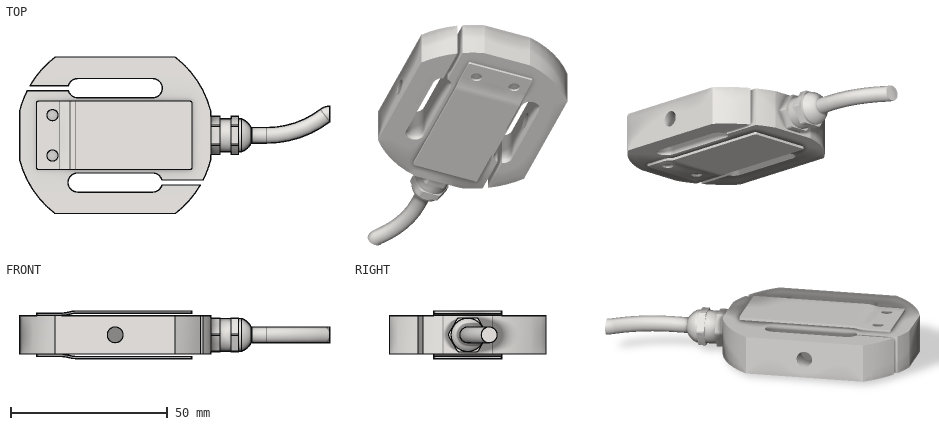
import cadquery as cq
import math

ring_length = 61.0
ring_width = 50.0
ring_height = 12.3
ring_radius = 31.5

slot_length = 30.0
slot_width = 6.0
slot_offset = 15.05
slit_width = 1.5
cross_hole_diameter = 5.05

sheet_length = 49.5
sheet_width = 21.8
sheet_thickness = 0.8
sheet_start_x = -25.05
sheet_step = 0.7
sheet_corner_radius = 0.5
bend_start_x = -17.8
bend_angle = math.radians(14.5)
lower_bend_radius = 13.1
upper_bend_radius = 6.3
sheet_hole_diameter = 3.6
sheet_hole_x = -20.0
sheet_hole_spacing = 12.9

hex_across_flats = 10.9
hex_corner_diameter = 12.3
base_hex_length = 3.0
gland_diameter = 10.6
gland_neck_length = 3.6
cap_hex_length = 2.4
cap_rim_length = 0.9
dome_radius = 5.6
lip_length = 0.3

cable_diameter = 5.05
cable_end_x = 68.5
cable_bend_start_x = 48.3
cable_bend_radius = 30.7
cable_tip_radius = 2.6

ring_top = ring_height / 2
base_start_x = ring_length / 2
neck_start_x = base_start_x + base_hex_length
cap_start_x = neck_start_x + gland_neck_length
cap_rim_x = cap_start_x + cap_hex_length
dome_start_x = cap_rim_x + cap_rim_length
gland_radius = gland_diameter / 2
cable_radius = cable_diameter / 2
dome_center_x = dome_start_x - math.sqrt(dome_radius**2 - gland_radius**2)
dome_end_x = dome_center_x + math.sqrt(dome_radius**2 - cable_radius**2)
cable_start_x = dome_end_x + lip_length


def make_ring():
    """Flat-sided disc with two long slots, each opened to the outside by a slit."""
    ring = cq.Workplane("XY").circle(ring_radius).extrude(ring_top, both=True)
    ring = ring.intersect(cq.Workplane("XY").box(ring_length, ring_width, ring_height))

    for side in (1, -1):
        slot_y = side * slot_offset
        slot = (
            cq.Workplane("XY")
            .center(0, slot_y)
            .slot2D(slot_length, slot_width)
            .extrude(ring_top, both=True)
        )
        slit_length = ring_radius - slot_length / 2 + slot_width / 2
        slit_x = -side * (ring_radius - slit_length / 2)
        slit = (
            cq.Workplane("XY")
            .center(slit_x, slot_y)
            .rect(slit_length, slit_width)
            .extrude(ring_top, both=True)
        )
        cross_hole = (
            cq.Workplane("XZ", origin=(0, slot_y, 0))
            .circle(cross_hole_diameter / 2)
            .extrude(-side * (ring_width / 2 - slot_offset))
        )
        ring = ring.cut(slot).cut(slit).cut(cross_hole)
    return ring


def bend_point(center, radius, angle):
    """Point on a bend in its own plane, at an angle measured from straight below the centre."""
    return (center[0] + radius * math.sin(angle), center[1] - radius * math.cos(angle))


def make_cover_sheet(side):
    """Sheet lying on the ring at its -X end and stepping clear of the rest; side is 1 above, -1 below."""
    end_x = sheet_start_x + sheet_length
    low_bottom = ring_top
    low_top = low_bottom + sheet_thickness
    high_bottom = low_bottom + sheet_step
    high_top = high_bottom + sheet_thickness

    radius_sum = lower_bend_radius + upper_bend_radius
    slope_rise = sheet_step - radius_sum * (1 - math.cos(bend_angle))
    slope_run = slope_rise / math.tan(bend_angle)
    bend_end_x = bend_start_x + radius_sum * math.sin(bend_angle) + slope_run
    lower_center = (bend_start_x, low_top + lower_bend_radius)
    upper_center = (bend_end_x, high_top - upper_bend_radius)
    lower_outer_radius = lower_bend_radius + sheet_thickness
    upper_inner_radius = upper_bend_radius - sheet_thickness
    half_bend = bend_angle / 2
    upper_bend = math.pi + bend_angle
    upper_half_bend = math.pi + half_bend

    sheet = (
        cq.Workplane("XZ")
        .moveTo(sheet_start_x, low_bottom)
        .lineTo(bend_start_x, low_bottom)
        .threePointArc(
            bend_point(lower_center, lower_outer_radius, half_bend),
            bend_point(lower_center, lower_outer_radius, bend_angle),
        )
        .lineTo(*bend_point(upper_center, upper_inner_radius, upper_bend))
        .threePointArc(
            bend_point(upper_center, upper_inner_radius, upper_half_bend),
            (bend_end_x, high_bottom),
        )
        .lineTo(end_x, high_bottom)
        .lineTo(end_x, high_top)
        .lineTo(bend_end_x, high_top)
        .threePointArc(
            bend_point(upper_center, upper_bend_radius, upper_half_bend),
            bend_point(upper_center, upper_bend_radius, upper_bend),
        )
        .lineTo(*bend_point(lower_center, lower_bend_radius, bend_angle))
        .threePointArc(
            bend_point(lower_center, lower_bend_radius, half_bend),
            (bend_start_x, low_top),
        )
        .lineTo(sheet_start_x, low_top)
        .close()
        .extrude(sheet_width / 2, both=True)
    )
    sheet = sheet.edges("|Z").fillet(sheet_corner_radius)

    holes = (
        cq.Workplane("XY", origin=(sheet_hole_x, 0, low_bottom))
        .rarray(1, sheet_hole_spacing, 1, 2)
        .circle(sheet_hole_diameter / 2)
        .extrude(sheet_thickness)
    )
    sheet = sheet.cut(holes)
    return sheet if side > 0 else sheet.mirror("XY")


def make_hex(start_x, length):
    """Hexagon along X with flats facing up and down and rounded-off corners."""
    plane = cq.Workplane("YZ", origin=(start_x, 0, 0))
    prism = plane.polygon(6, hex_across_flats, circumscribed=True).extrude(length)
    prism = prism.rotate((0, 0, 0), (1, 0, 0), 90)
    return prism.intersect(plane.circle(hex_corner_diameter / 2).extrude(length))


def make_gland_base():
    """Hexagon against the ring with a round neck behind it."""
    neck = (
        cq.Workplane("YZ", origin=(neck_start_x, 0, 0))
        .circle(gland_radius)
        .extrude(gland_neck_length)
    )
    return make_hex(base_start_x, base_hex_length).union(neck)


def make_gland_cap():
    """Hexagon with a short round rim and a spherical dome ending in a lip as thick as the cable."""
    mid_x = (dome_start_x + dome_end_x) / 2
    mid_radius = math.sqrt(dome_radius**2 - (mid_x - dome_center_x) ** 2)
    dome = (
        cq.Workplane("XY")
        .moveTo(cap_rim_x, 0)
        .lineTo(cap_rim_x, gland_radius)
        .lineTo(dome_start_x, gland_radius)
        .threePointArc((mid_x, mid_radius), (dome_end_x, cable_radius))
        .lineTo(cable_start_x, cable_radius)
        .lineTo(cable_start_x, 0)
        .close()
        .revolve(360, (0, 0, 0), (1, 0, 0))
    )
    return make_hex(cap_start_x, cap_hex_length).union(dome)


def make_cable():
    """Round cable: straight, a wide bend towards +Y, and a tight bend back to +X."""
    swing = math.asin((cable_end_x - cable_bend_start_x) / (cable_bend_radius + cable_tip_radius))
    bend_center = (cable_bend_start_x, cable_bend_radius)
    tip_y = (cable_bend_radius + cable_tip_radius) * (1 - math.cos(swing))
    tip_center = (cable_end_x, tip_y - cable_tip_radius)
    path = (
        cq.Workplane("XY")
        .moveTo(cable_start_x, 0)
        .lineTo(cable_bend_start_x, 0)
        .threePointArc(
            bend_point(bend_center, cable_bend_radius, swing / 2),
            bend_point(bend_center, cable_bend_radius, swing),
        )
        .threePointArc(
            bend_point(tip_center, cable_tip_radius, math.pi + swing / 2),
            (cable_end_x, tip_y),
        )
    )
    return cq.Workplane("YZ", origin=(cable_start_x, 0, 0)).circle(cable_radius).sweep(path)


ring = make_ring()
cover_sheets = [make_cover_sheet(side) for side in (1, -1)]
gland_base = make_gland_base()
gland_cap = make_gland_cap()
cable = make_cable()

result = cq.Compound.makeCompound(
    [
        ring.val(),
        *[sheet.val() for sheet in cover_sheets],
        gland_base.val(),
        gland_cap.val(),
        cable.val(),
    ]
)